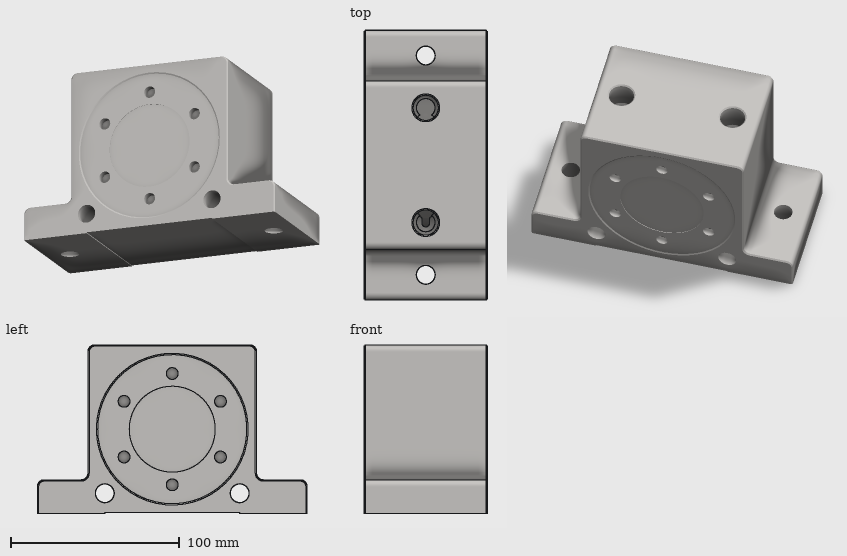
import cadquery as cq
import math

width = 73.0
foot_length = 160.0
height = 100.0
housing_length = 100.0
foot_height = 20.0
corner_radius = 4.0
edge_chamfer = 0.8
relief_length = 80.0
relief_depth = 0.5

cover_height = 50.0
recess_mouth_diameter = 90.0
cover_diameter = 88.4
cover_recess = 0.5
disc_diameter = 51.0
disc_recess = 0.3
screw_hole_diameter = 7.0
screw_hole_depth = 5.0
screw_circle_radius = 33.0
screw_count = 6

mount_hole_diameter = 11.0
foot_hole_spacing = 130.0
cross_hole_spacing = 80.0
cross_hole_height = 12.0

port_spacing = 68.0
port_diameter = 14.95
port_mouth_diameter = 16.5
port_mouth_depth = 0.8
port_floor_height = 83.6
drill_half_angle = math.radians(59.0)
bore_diameter = 11.0
nozzle_step = 0.3
nozzle_width = 4.6
nozzle_reach = 2.6
nozzle_length = 6.8
core_diameter = 88.0


def cylinder_along_x(diameter, y, z, x_start, length):
    """Round bar parallel to X that starts at x_start."""
    plane = cq.Workplane("YZ", origin=(x_start, y, z))
    return plane.circle(diameter / 2).extrude(length)


def make_body():
    """Stepped block with rounded corners and chamfered sides."""
    half_foot = foot_length / 2
    half_housing = housing_length / 2
    profile = [
        (-half_foot, 0),
        (half_foot, 0),
        (half_foot, foot_height),
        (half_housing, foot_height),
        (half_housing, height),
        (-half_housing, height),
        (-half_housing, foot_height),
        (-half_foot, foot_height),
    ]
    body = cq.Workplane("YZ").polyline(profile).close().extrude(width / 2, both=True)
    profile_corners = body.edges("|X").edges("not <Z")
    body = profile_corners.fillet(corner_radius)
    side_outlines = body.faces("<X or >X").edges("not <Z")
    body = side_outlines.chamfer(edge_chamfer)
    relief = cq.Workplane("XY").box(width, relief_length, relief_depth, centered=(True, True, False))
    return body.cut(relief)


def make_cover_cuts(side):
    """Bevelled recess, centre disc recess and screw holes on one side face (side is -1 or 1)."""
    face_x = side * width / 2
    cover_x = face_x - side * cover_recess
    cuts = cq.Workplane("YZ", origin=(face_x, 0, cover_height)).circle(recess_mouth_diameter / 2)
    cuts = cuts.workplane(offset=-side * cover_recess).circle(cover_diameter / 2).loft(ruled=True)
    disc = cylinder_along_x(disc_diameter, 0, cover_height, cover_x, -side * disc_recess)
    cuts = cuts.union(disc)
    for index in range(screw_count):
        angle = math.radians(90 + index * 360 / screw_count)
        y = screw_circle_radius * math.cos(angle)
        z = cover_height + screw_circle_radius * math.sin(angle)
        cuts = cuts.union(cylinder_along_x(screw_hole_diameter, y, z, cover_x, -side * screw_hole_depth))
    return cuts


def make_mounting_holes():
    """Vertical holes through the feet and cross holes along X through the housing."""
    foot_points = [(0, -foot_hole_spacing / 2), (0, foot_hole_spacing / 2)]
    holes = cq.Workplane("XY").pushPoints(foot_points).circle(mount_hole_diameter / 2).extrude(height)
    for y in (-cross_hole_spacing / 2, cross_hole_spacing / 2):
        cross_hole = cylinder_along_x(mount_hole_diameter, y, cross_hole_height, -width / 2, width)
        holes = holes.union(cross_hole)
    return holes


def make_core():
    """Round core inside the housing; the ports do not cut into it."""
    return cylinder_along_x(core_diameter, 0, cover_height, -width / 2, width)


def cone_drop(large_diameter, small_diameter):
    """Height of a drill cone between two diameters."""
    return (large_diameter - small_diameter) / 2 / math.tan(drill_half_angle)


bore_start_height = port_floor_height - cone_drop(port_diameter, bore_diameter)


def make_port(y, bore_end_height):
    """Chamfered port with a conical step to a second bore, whose tip cone starts at bore_end_height."""
    port_radius = port_diameter / 2
    bore_radius = bore_diameter / 2
    section = [
        (0, bore_end_height - cone_drop(bore_diameter, 0)),
        (bore_radius, bore_end_height),
        (bore_radius, bore_start_height),
        (port_radius, port_floor_height),
        (port_radius, height - port_mouth_depth),
        (port_mouth_diameter / 2, height),
        (0, height),
    ]
    port = cq.Workplane("XZ").polyline(section).close().revolve(360, (0, 0, 0), (0, 1, 0))
    return port.translate((0, y, 0))


def make_outlet_port():
    """Port on the +Y side, bored down to the core."""
    return make_port(port_spacing / 2, cover_height).cut(make_core())


def make_inlet_port():
    """Port on the -Y side, ending in a drill cone with a narrow slot down to the core."""
    port_y = -port_spacing / 2
    slot_y = port_y - nozzle_reach + nozzle_length / 2
    slot = cq.Workplane("XY", origin=(0, slot_y, cover_height)).slot2D(nozzle_length, nozzle_width, 90)
    slot = slot.extrude(port_floor_height - cover_height)
    port = make_port(port_y, bore_start_height - nozzle_step)
    return port.union(slot).cut(make_core())


result = make_body()
for side in (-1, 1):
    result = result.cut(make_cover_cuts(side))
result = result.cut(make_mounting_holes())
result = result.cut(make_outlet_port())
result = result.cut(make_inlet_port())